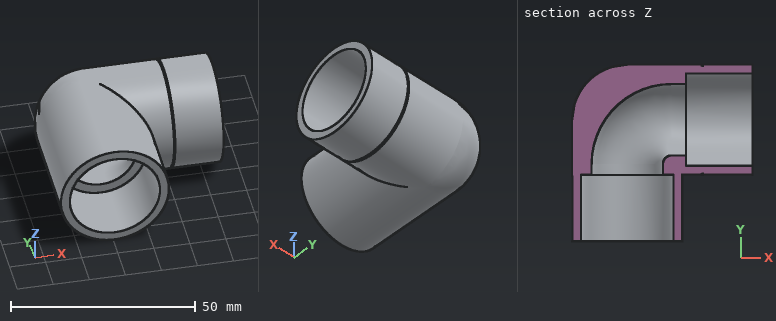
import cadquery as cq
import math

length_x = 49.0
length_y = 48.0
outer_diameter = 30.0
outer_radius = outer_diameter / 2

bore_diameter = 19.3
socket_diameter = 25.0

collar_length = 13.45
groove_width = 0.4
groove_depth = 0.4

front_reach = length_y - outer_radius
side_reach = length_x - outer_radius

bend_radius = 12.05
socket_depth = front_reach - outer_radius


def front_cylinder(diameter, start, length):
    """Cylinder along -Y, starting at a distance from the elbow centre."""
    plane = cq.Plane(origin=(0, -start, 0), xDir=(1, 0, 0), normal=(0, -1, 0))
    return cq.Workplane(plane).circle(diameter / 2).extrude(length)


def side_cylinder(diameter, start, length):
    """Cylinder along +X, starting at a distance from the elbow centre."""
    return cq.Workplane("YZ", origin=(start, 0, 0)).circle(diameter / 2).extrude(length)


def elbow(diameter):
    """Two perpendicular branches joined by a spherical corner."""
    corner = cq.Workplane("XY").sphere(diameter / 2)
    front_branch = front_cylinder(diameter, 0, front_reach)
    side_branch = side_cylinder(diameter, 0, side_reach)
    return corner.union(front_branch).union(side_branch)


def curved_passage():
    """Round bore that follows straight legs joined by a quarter-circle bend."""
    midpoint = bend_radius * (1 - math.sqrt(0.5))
    path = (
        cq.Workplane("XY")
        .moveTo(0, -front_reach)
        .lineTo(0, -bend_radius)
        .threePointArc((midpoint, -midpoint), (bend_radius, 0))
        .lineTo(side_reach, 0)
    )
    profile = cq.Workplane("XZ", origin=(0, -front_reach, 0)).circle(bore_diameter / 2)
    return profile.sweep(path)


def v_groove():
    """Ring with a triangular section, revolved about the side branch axis."""
    groove_end = side_reach - collar_length
    return (
        cq.Workplane("XY")
        .moveTo(groove_end - groove_width, outer_radius)
        .lineTo(groove_end - groove_width / 2, outer_radius - groove_depth)
        .lineTo(groove_end, outer_radius)
        .close()
        .revolve(360, (0, 0, 0), (1, 0, 0))
    )


body = elbow(outer_diameter).cut(curved_passage())

body = body.cut(front_cylinder(socket_diameter, front_reach - socket_depth, socket_depth))
body = body.cut(side_cylinder(socket_diameter, side_reach - socket_depth, socket_depth))

result = body.cut(v_groove())